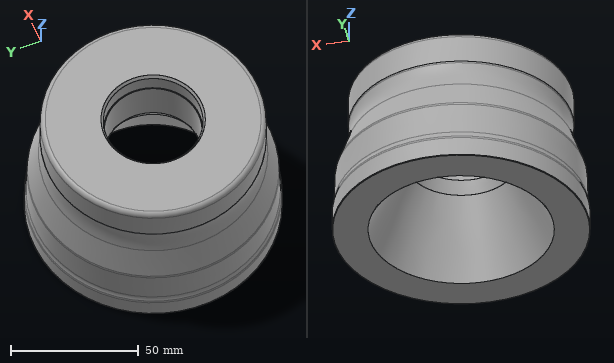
import cadquery as cq
import math

height = 63.5
rim_radius = 50.8
rim_bottom_chamfer = 0.25
rim_top_z = 8.3
rim_bevel_radius = 50.6
rim_bevel_top_z = 9.2

skirt_bottom_radius = 50.1
skirt_bottom_z = 11.6
skirt_fillet_mid_radius = 50.2
skirt_fillet_mid_z = 10.3
skirt_top_radius = 49.7
skirt_top_z = 25.2

shoulder_angle = 20
shoulder_slope = math.tan(math.radians(shoulder_angle))
shoulder_bottom_z = 26.1
shoulder_top_radius = 45.1
shoulder_top_z = 38.2
shoulder_bottom_radius = shoulder_top_radius + (shoulder_top_z - shoulder_bottom_z) * shoulder_slope
neck_top_radius = 44.3
neck_top_z = 49.1

head_radius = 44.5
head_bottom_z = 49.7
head_fillet = 2.0

lip_mouth_radius = 20.5
lip_mouth_depth = 1.2
lip_bore_radius = 19.6
lip_bottom_z = 55.4

sleeve_bore_radius = 19.2
sleeve_wall = 2.5
sleeve_outer_radius = sleeve_bore_radius + sleeve_wall
funnel_top_z = 37.4
funnel_angle = 25
funnel_slope = math.tan(math.radians(funnel_angle))
sleeve_outer_bottom_z = funnel_top_z - sleeve_wall / funnel_slope
funnel_mouth_radius = sleeve_bore_radius + funnel_top_z * funnel_slope


def revolve_about_z(profile):
    """Turn a closed radius-height profile one full turn about the Z axis."""
    return profile.close().revolve(360, (0, 0, 0), (0, 1, 0))


def make_housing():
    """Stepped bell with a lip at the top, a recess for the sleeve and a funnel below."""
    fillet_centre_radius = head_radius - head_fillet
    fillet_centre_z = height - head_fillet
    fillet_mid_offset = head_fillet * math.cos(math.radians(45))

    profile = (
        cq.Workplane("XZ")
        .moveTo(funnel_mouth_radius, 0)
        .lineTo(rim_radius - rim_bottom_chamfer, 0)
        .lineTo(rim_radius, rim_bottom_chamfer)
        .lineTo(rim_radius, rim_top_z)
        .lineTo(rim_bevel_radius, rim_bevel_top_z)
        .threePointArc((skirt_fillet_mid_radius, skirt_fillet_mid_z), (skirt_bottom_radius, skirt_bottom_z))
        .lineTo(skirt_top_radius, skirt_top_z)
        .lineTo(shoulder_bottom_radius, shoulder_bottom_z)
        .lineTo(shoulder_top_radius, shoulder_top_z)
        .tangentArcPoint((neck_top_radius, neck_top_z), relative=False)
        .lineTo(head_radius, head_bottom_z)
        .lineTo(head_radius, fillet_centre_z)
        .threePointArc(
            (fillet_centre_radius + fillet_mid_offset, fillet_centre_z + fillet_mid_offset),
            (fillet_centre_radius, height),
        )
        .lineTo(lip_mouth_radius, height)
        .lineTo(lip_bore_radius, height - lip_mouth_depth)
        .lineTo(lip_bore_radius, lip_bottom_z)
        .lineTo(sleeve_outer_radius, lip_bottom_z)
        .lineTo(sleeve_outer_radius, sleeve_outer_bottom_z)
    )
    return revolve_about_z(profile)


def make_sleeve():
    """Plain bushing under the lip, its lower end bevelled flush with the funnel."""
    profile = (
        cq.Workplane("XZ")
        .moveTo(sleeve_bore_radius, funnel_top_z)
        .lineTo(sleeve_outer_radius, sleeve_outer_bottom_z)
        .lineTo(sleeve_outer_radius, lip_bottom_z)
        .lineTo(sleeve_bore_radius, lip_bottom_z)
    )
    return revolve_about_z(profile)


housing = make_housing()
sleeve = make_sleeve()
result = cq.Compound.makeCompound([housing.val(), sleeve.val()])